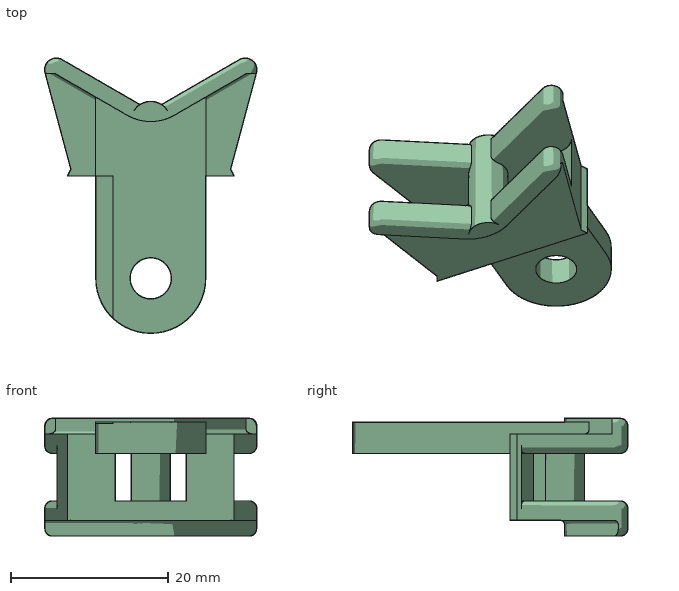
import cadquery as cq
import math

HEIGHT = 15.0
MID_Z = HEIGHT / 2
SLOT_GAP = 6.0
SLOT_BOTTOM = MID_Z - SLOT_GAP / 2
SLOT_TOP = MID_Z + SLOT_GAP / 2
RECESS_DEPTH = 2.0
EDGE_FILLET = 1.0
ROOT_FILLET = 0.5

TONGUE_RADIUS = 7.0
TONGUE_THICKNESS = 4.0
TONGUE_TOP = SLOT_TOP + TONGUE_THICKNESS
HOLE_DIAMETER = 5.2
STRIP_EDGE_X = -4.8
STRIP_DEPTH = 0.2

HALF_WIDTH = 13.5
HEAD_TOP_Y = 28.0
ARM_ANGLE = math.radians(30)
SIDE_ANGLE = math.radians(15)
TIP_RADIUS = 1.5
TIP_FACE_Y = 26.0
RIM_THICKNESS = 2.0
RIM_INNER_RADIUS = 6.0

BLOCK_FRONT_Y = 13.0
FLARE_TOP_Y = 13.87
FLARE_HALF_WIDTH = 10.6
WINDOW_WIDTH = 9.0
PILLAR_RADIUS = 2.5
PILLAR_Y = 20.0
SLOT_FLOOR_LEFT_Y = 20.4
SLOT_FLOOR_ANGLE = SIDE_ANGLE

REACH = 40.0

TIP_X = HALF_WIDTH - TIP_RADIUS
TIP_Y = HEAD_TOP_Y - TIP_RADIUS
ARM_TANGENT = (TIP_X - TIP_RADIUS * math.sin(ARM_ANGLE), TIP_Y + TIP_RADIUS * math.cos(ARM_ANGLE))
TIP_MIDDLE = (TIP_X + TIP_RADIUS * math.sin(ARM_ANGLE), TIP_Y + TIP_RADIUS * math.cos(ARM_ANGLE))
SIDE_TANGENT = (TIP_X + TIP_RADIUS * math.cos(SIDE_ANGLE), TIP_Y - TIP_RADIUS * math.sin(SIDE_ANGLE))
VERTEX_Y = ARM_TANGENT[1] - ARM_TANGENT[0] * math.tan(ARM_ANGLE)
RIM_VERTEX_Y = VERTEX_Y - RIM_THICKNESS / math.cos(ARM_ANGLE)


def side_x(y):
    """Half width of the head at distance y from the tongue hole."""
    return SIDE_TANGENT[0] - (SIDE_TANGENT[1] - y) * math.tan(SIDE_ANGLE)


def mirrored(point):
    return (-point[0], point[1])


def prism(outline, bottom, top):
    return outline.extrude(top - bottom).translate((0, 0, bottom))


def head_outline():
    flare_top = (side_x(FLARE_TOP_Y), FLARE_TOP_Y)
    flare_end = (FLARE_HALF_WIDTH, BLOCK_FRONT_Y)
    return (
        cq.Workplane("XY")
        .moveTo(0, VERTEX_Y)
        .lineTo(*ARM_TANGENT)
        .threePointArc(TIP_MIDDLE, SIDE_TANGENT)
        .lineTo(*flare_top)
        .lineTo(*flare_end)
        .lineTo(*mirrored(flare_end))
        .lineTo(*mirrored(flare_top))
        .lineTo(*mirrored(SIDE_TANGENT))
        .threePointArc(mirrored(TIP_MIDDLE), mirrored(ARM_TANGENT))
        .close()
    )


def rim_line_outline():
    """Area below the inner face of the rim, which is a V with a rounded root."""
    root_x = RIM_INNER_RADIUS * math.sin(ARM_ANGLE)
    root_y = RIM_VERTEX_Y + root_x * math.tan(ARM_ANGLE)
    root_bottom = RIM_VERTEX_Y + RIM_INNER_RADIUS * (1 / math.cos(ARM_ANGLE) - 1)
    end_y = RIM_VERTEX_Y + REACH * math.tan(ARM_ANGLE)
    return (
        cq.Workplane("XY")
        .moveTo(-REACH, -REACH)
        .lineTo(-REACH, end_y)
        .lineTo(-root_x, root_y)
        .threePointArc((0, root_bottom), (root_x, root_y))
        .lineTo(REACH, end_y)
        .lineTo(REACH, -REACH)
        .close()
    )


def flange():
    """Lower flange with its arm, tip and side edges rounded."""
    body = prism(head_outline(), 0, SLOT_BOTTOM)
    rounded_area = cq.selectors.BoxSelector(
        (-REACH, FLARE_TOP_Y + EDGE_FILLET, -REACH), (REACH, REACH, REACH)
    )
    return body.faces("<Z or >Z").edges(rounded_area).fillet(EDGE_FILLET)


def recess_cutter():
    """Lower recess, rounded where its floor meets the rim."""
    cutter = prism(rim_line_outline(), -RECESS_DEPTH, RECESS_DEPTH)
    inside = 0.75 * REACH
    rim_edges = cq.selectors.BoxSelector((-inside, 0, 0), (inside, REACH, REACH))
    return cutter.faces(">Z").edges(rim_edges).fillet(ROOT_FILLET)


def flipped(shape):
    return shape.mirror("XY", (0, 0, MID_Z))


def web():
    """Solid between the flanges, in front of the slanted slot floor."""
    body = prism(head_outline(), RECESS_DEPTH, HEIGHT - RECESS_DEPTH)
    left_x = -side_x(SLOT_FLOOR_LEFT_Y)
    drop = math.tan(SLOT_FLOOR_ANGLE)
    floor_start = (-REACH, SLOT_FLOOR_LEFT_Y + (left_x + REACH) * drop)
    floor_end = (REACH, SLOT_FLOOR_LEFT_Y + (left_x - REACH) * drop)
    kept = cq.Workplane("XY").polyline(
        [floor_start, floor_end, (REACH, -REACH), (-REACH, -REACH)]
    ).close()
    window = cq.Workplane("XY").rect(WINDOW_WIDTH, 2 * REACH)
    body = body.intersect(prism(kept, 0, HEIGHT))
    return body.cut(prism(window, SLOT_BOTTOM, SLOT_TOP))


def tongue():
    bar = cq.Workplane("XY").rect(2 * TONGUE_RADIUS, REACH).extrude(TONGUE_THICKNESS)
    bar = bar.translate((0, REACH / 2, SLOT_TOP))
    end = prism(cq.Workplane("XY").circle(TONGUE_RADIUS), SLOT_TOP, TONGUE_TOP)
    head = prism(rim_line_outline(), 0, HEIGHT)
    hole = prism(cq.Workplane("XY").circle(HOLE_DIAMETER / 2), 0, HEIGHT)
    strip = cq.Workplane("XY").box(REACH, REACH, STRIP_DEPTH, centered=False)
    strip = strip.translate((STRIP_EDGE_X - REACH, BLOCK_FRONT_Y - REACH, TONGUE_TOP - STRIP_DEPTH))
    return bar.union(end).intersect(head).cut(hole).cut(strip)


def upper_recess_cutter():
    """Flipped recess that stops short of the arm tips with a flat face."""
    limit = cq.Workplane("XY").rect(2 * REACH, 2 * TIP_FACE_Y)
    return flipped(recess_cutter()).intersect(prism(limit, 0, 2 * HEIGHT))


lower_flange = flange().cut(recess_cutter())
upper_flange = flipped(flange()).cut(upper_recess_cutter())
pillar = prism(cq.Workplane("XY").center(0, PILLAR_Y).circle(PILLAR_RADIUS), 0, HEIGHT)
pillar = pillar.cut(recess_cutter()).cut(upper_recess_cutter())

result = lower_flange.union(upper_flange).union(web()).union(pillar).union(tongue())